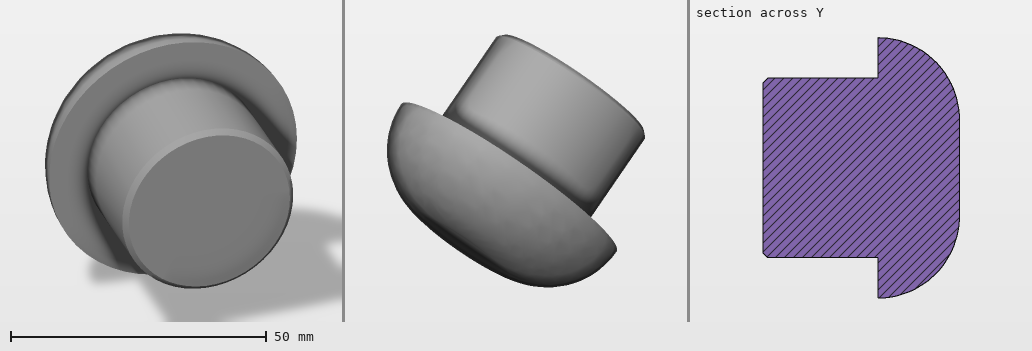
import cadquery as cq

total_length = 38.5
head_diameter = 51.0
head_thickness = 16.0
face_diameter = 18.55
shank_diameter = 35.2
chamfer_length = 1.0
chamfer_depth = 1.0

head_radius = head_diameter / 2
face_radius = face_diameter / 2
shank_radius = shank_diameter / 2


def domed_head():
    """Flat-faced head whose rounded side is a quarter ellipse ending at the rim."""
    profile = (
        cq.Workplane("XY")
        .moveTo(0, 0)
        .lineTo(0, face_radius)
        .ellipseArc(
            head_thickness,
            head_radius - face_radius,
            angle1=90,
            angle2=180,
            sense=-1,
            startAtCurrent=True,
        )
        .lineTo(head_thickness, 0)
        .close()
    )
    return profile.revolve(360, (0, 0, 0), (1, 0, 0))


def shank():
    """Solid round shank with a chamfered free end."""
    length = total_length - head_thickness
    cylinder = cq.Workplane("YZ", origin=(head_thickness, 0, 0)).circle(shank_radius).extrude(length)
    return cylinder.faces(">X").chamfer(chamfer_length, chamfer_depth)


result = domed_head().union(shank())